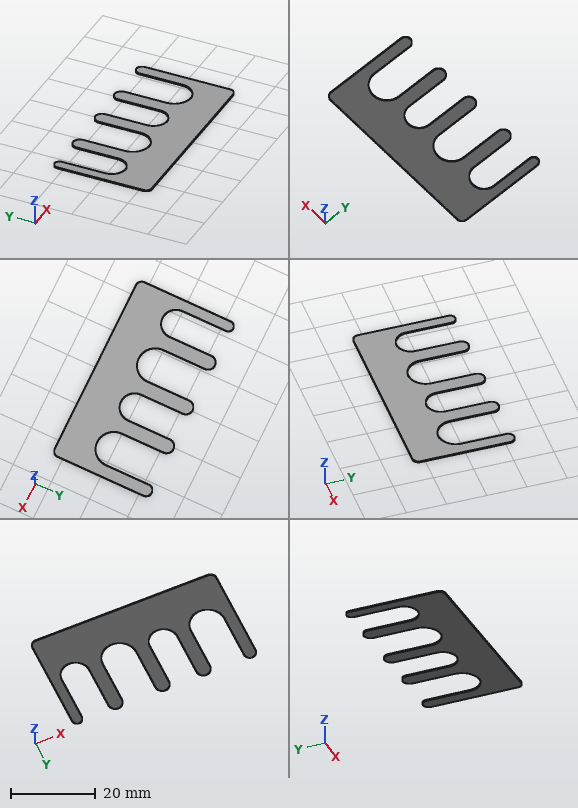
import cadquery as cq

length = 47.75
depth = 25.4
thickness = 0.38
corner_radius = 1.52

narrow_slot = 7.06
wide_slot = 8.64
slot_widths = [narrow_slot, wide_slot, narrow_slot, wide_slot]
slot_pitch = 11.43
first_slot_x = 6.12
slot_arc_y = depth / 2

slot_centers = [first_slot_x + i * slot_pitch for i in range(len(slot_widths))]


def make_blank():
    """Rectangular sheet with its lower left back corner at the origin, back corners rounded."""
    sheet = cq.Workplane("XY").box(length, depth, thickness, centered=False)
    return sheet.edges("|Z and <Y").fillet(corner_radius)


def make_slot(center_x, width):
    """Cutter for one slot, open at the finger tips and semicircular at its bottom."""
    left = center_x - width / 2
    right = center_x + width / 2
    return (
        cq.Workplane("XY")
        .moveTo(left, depth)
        .lineTo(left, slot_arc_y)
        .threePointArc((center_x, slot_arc_y - width / 2), (right, slot_arc_y))
        .lineTo(right, depth)
        .close()
        .extrude(thickness)
    )


def make_tip_trim(left, right):
    """Cutter leaving a fully rounded tip on the finger between left and right."""
    radius = (right - left) / 2
    center_x = (left + right) / 2
    tip_y = depth - radius
    square_end = cq.Workplane("XY").box(right - left, radius, thickness, centered=False)
    square_end = square_end.translate((left, tip_y, 0))
    round_end = cq.Workplane("XY").center(center_x, tip_y).circle(radius).extrude(thickness)
    return square_end.cut(round_end)


slots = list(zip(slot_centers, slot_widths))
finger_lefts = [0] + [x + width / 2 for x, width in slots]
finger_rights = [x - width / 2 for x, width in slots] + [length]

plate = make_blank()
for slot_x, slot_width in slots:
    plate = plate.cut(make_slot(slot_x, slot_width))
for finger_left, finger_right in zip(finger_lefts, finger_rights):
    plate = plate.cut(make_tip_trim(finger_left, finger_right))

result = plate.translate((-length / 2, -depth / 2, -thickness / 2))